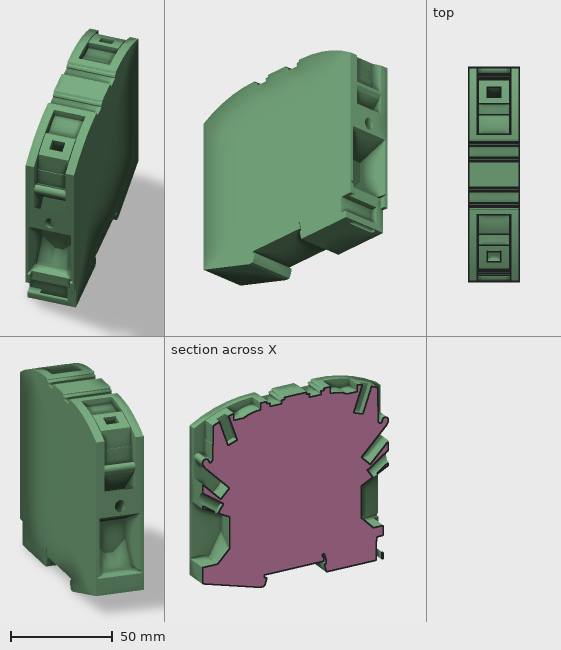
import cadquery as cq
import math

WIDTH = 25.0
LENGTH = 105.5
HEIGHT = 99.7
END_Y = LENGTH / 2

SHOULDER_Z = 90.0
CROWN_Y = 17.2
CROWN_RADIUS = ((END_Y - CROWN_Y) ** 2 + (HEIGHT - SHOULDER_Z) ** 2) / (2 * (HEIGHT - SHOULDER_Z))

GROOVE_INNER_Y = 6.2
GROOVE_OUTER_Y = 16.0
GROOVE_DEPTH = 3.1
GROOVE_SHELF_DEPTH = 1.2
GROOVE_LIP_REACH = 0.6
GROOVE_LIP_DROP = 0.5
GROOVE_SHELF_REACH = 1.6

BACK_CORNER_Z = 9.2
BACK_FOOT_Y = 20.0
FOOT_Y = -49.7
FOOT_TOP_Z = 12.6
RAIL_CEILING_Z = 6.1
JAW_Z = 4.7
BACK_RECESS_Y = 17.6
BACK_JAW_TIP_Y = 16.0
FRONT_RECESS_Y = -16.1
FRONT_JAW_TIP_Y = -16.5
FRONT_JAW_FOOT_Y = -17.4
JAW_BULGE = 0.5
SLIT_BEND_Z = 7.6
SLIT_ARC_OFFSET = 0.3
SLIT_OUTER_Y = -17.3
SLIT_EYE_Y = -15.8
SLIT_EYE_Z = 9.5
SLIT_EYE_RADIUS = 0.5

FOOT_POCKET_X = 8.1
FOOT_POCKET_FLOOR_Z = 3.8
FOOT_POCKET_BACK_Y = -45.9
FOOT_POCKET_BEND_Z = 9.9
FOOT_POCKET_BACK_LEAN = 0.4
FOOT_LIP_DROP = 0.7
FOOT_LIP_RADIUS = 1.1
FOOT_LIP_RUN = math.sqrt(FOOT_LIP_RADIUS**2 - (FOOT_LIP_RADIUS - FOOT_LIP_DROP) ** 2)
FOOT_WELL_START_X = -6.3

SLOT_WIDTH = 16.2
SLOT_INNER_Y = -19.8
SLOT_INNER_Z = 96.0
LEDGE_Y = -29.3
LEDGE_Z = 93.7
BLOCK_WIDTH = 15.4
BLOCK_INNER_Y = -34.9
BLOCK_OUTER_Y = -46.6
BLOCK_BOTTOM_Z = 83.2
WALL_Y = -47.0

TOOL_HOLE_WIDTH = 6.8
TOOL_HOLE_LENGTH = 5.3
TOOL_HOLE_Y = -40.5
TOOL_HOLE_DEPTH = 14.8

BAR_RADIUS = 2.0
BAR_Y = -END_Y + BAR_RADIUS
BAR_Z = 74.3
BAR_LIP_Y = -49.5
BAR_EDGE_DROP = 1.3
TROUGH_Z = 73.7
TROUGH_STEP_Z = 74.5
TROUGH_STEP_Y = -47.7
TROUGH_OUTER_Y = -48.5
CHANNEL_FLOOR_Z = 63.2
CHANNEL_CEILING_Y = -51.5
CHANNEL_CEILING_Z = 71.5
CHANNEL_RUN = 10.4

TEST_HOLE_DIAMETER = 5.3
TEST_HOLE_Z = 54.9
TEST_HOLE_SLOPE = 35.0
TEST_HOLE_DEPTH = 12.7

FUNNEL_FRONT_WIDTH = 21.7
FUNNEL_BACK_WIDTH = 17.0
FUNNEL_BACK_Y = -37.3
FUNNEL_TOP_Z = 49.8
FUNNEL_BACK_TOP_Z = 41.9
FUNNEL_FLOOR_Z = 18.1
FUNNEL_FLOOR_BEND_Y = -44.1
RAMP_FRONT_Y = -43.3
FUNNEL_SIDE_Z = 31.2
GULLY_WIDTH = 4.2
GULLY_BACK_Z = 25.0
GUIDE_WIDTH = 23.3
GUIDE_TOP_Z = 19.6
MOUTH_WIDTH = 20.7

CLEAR = 1.1
OUTSIDE_Y = -END_Y - CLEAR


def extrude_x(sketch, x_start, x_end):
    """Extrude a closed YZ outline from x_start to x_end."""
    return sketch.extrude(x_end - x_start).translate((x_start, 0, 0))


def extrude_centred(sketch, width):
    """Extrude a closed YZ outline symmetrically about X = 0."""
    return extrude_x(sketch, -width / 2, width / 2)


def yz_polygon(points):
    return cq.Workplane("YZ").polyline(points).close()


def box_between(x_range, y_range, z_range):
    sizes = [high - low for low, high in (x_range, y_range, z_range)]
    corner = (x_range[0], y_range[0], z_range[0])
    return cq.Workplane("XY").box(*sizes, centered=False).translate(corner)


def crown_height(y):
    """Height of the rounded top at a distance |y| beyond the flat crown."""
    return HEIGHT - CROWN_RADIUS + math.sqrt(CROWN_RADIUS**2 - (abs(y) - CROWN_Y) ** 2)


def housing():
    arc_middle_y = (END_Y + CROWN_Y) / 2
    arc_middle_z = crown_height(arc_middle_y)
    eye_edge_z = SLIT_EYE_Z - SLIT_EYE_RADIUS
    back_jaw_middle = (BACK_JAW_TIP_Y + JAW_BULGE, JAW_Z / 2)
    front_jaw_middle = (FRONT_JAW_TIP_Y - JAW_BULGE / 2, JAW_Z / 2)
    slit_arc_middle = (SLIT_OUTER_Y + SLIT_ARC_OFFSET, SLIT_BEND_Z)
    outline = (
        cq.Workplane("YZ")
        .moveTo(-CROWN_Y, HEIGHT)
        .lineTo(CROWN_Y, HEIGHT)
        .threePointArc((arc_middle_y, arc_middle_z), (END_Y, SHOULDER_Z))
        .lineTo(END_Y, BACK_CORNER_Z)
        .lineTo(BACK_FOOT_Y, 0)
        .lineTo(BACK_RECESS_Y, 0)
        .threePointArc(back_jaw_middle, (BACK_JAW_TIP_Y, JAW_Z))
        .lineTo(BACK_RECESS_Y, JAW_Z)
        .lineTo(BACK_RECESS_Y, RAIL_CEILING_Z)
        .lineTo(FRONT_RECESS_Y, RAIL_CEILING_Z)
        .lineTo(FRONT_RECESS_Y, SLIT_BEND_Z)
        .lineTo(SLIT_EYE_Y, eye_edge_z)
        .lineTo(SLIT_EYE_Y - SLIT_EYE_RADIUS, SLIT_EYE_Z)
        .threePointArc(slit_arc_middle, (SLIT_OUTER_Y, JAW_Z))
        .lineTo(FRONT_JAW_TIP_Y, JAW_Z)
        .threePointArc(front_jaw_middle, (FRONT_JAW_FOOT_Y, 0))
        .lineTo(FOOT_Y, 0)
        .lineTo(FOOT_Y, FOOT_TOP_Z)
        .lineTo(-END_Y, FOOT_TOP_Z)
        .lineTo(-END_Y, SHOULDER_Z)
        .threePointArc((-arc_middle_y, arc_middle_z), (-CROWN_Y, HEIGHT))
        .close()
    )
    slit_eye = cq.Workplane("YZ").center(SLIT_EYE_Y, SLIT_EYE_Z).circle(SLIT_EYE_RADIUS)
    return extrude_centred(outline, WIDTH).cut(extrude_centred(slit_eye, WIDTH))


def groove_side(edge_y, inward):
    """Points down one lipped groove side; inward is +1 or -1 towards the groove middle."""
    lip = inward * GROOVE_LIP_REACH
    shelf = inward * GROOVE_SHELF_REACH
    shelf_z = HEIGHT - GROOVE_SHELF_DEPTH
    lip_z = HEIGHT - GROOVE_LIP_DROP
    lower_lip_z = shelf_z - GROOVE_LIP_REACH
    return [
        (edge_y, HEIGHT + CLEAR),
        (edge_y, HEIGHT),
        (edge_y + lip, lip_z),
        (edge_y, lip_z),
        (edge_y, shelf_z),
        (edge_y + shelf, shelf_z),
        (edge_y + shelf + lip, lower_lip_z),
        (edge_y + shelf, lower_lip_z),
        (edge_y + shelf, HEIGHT - GROOVE_DEPTH),
    ]


def marker_groove():
    points = groove_side(-GROOVE_OUTER_Y, 1) + groove_side(-GROOVE_INNER_Y, -1)[::-1]
    return extrude_centred(yz_polygon(points), WIDTH)


def foot_pocket():
    """Pocket in the foot with a rounded front lip."""
    lip_middle_z = FOOT_POCKET_FLOOR_Z - FOOT_LIP_RADIUS + math.sqrt(
        FOOT_LIP_RADIUS**2 - (FOOT_LIP_RUN / 2) ** 2
    )
    lip_front_z = FOOT_POCKET_FLOOR_Z - FOOT_LIP_DROP
    outline = (
        cq.Workplane("YZ")
        .moveTo(FOOT_Y - CLEAR, FOOT_TOP_Z)
        .lineTo(FOOT_POCKET_BACK_Y - FOOT_POCKET_BACK_LEAN, FOOT_TOP_Z)
        .lineTo(FOOT_POCKET_BACK_Y, FOOT_POCKET_BEND_Z)
        .lineTo(FOOT_POCKET_BACK_Y, FOOT_POCKET_FLOOR_Z)
        .lineTo(FOOT_Y + FOOT_LIP_RUN, FOOT_POCKET_FLOOR_Z)
        .threePointArc((FOOT_Y + FOOT_LIP_RUN / 2, lip_middle_z), (FOOT_Y, lip_front_z))
        .lineTo(FOOT_Y - CLEAR, lip_front_z)
        .close()
    )
    return extrude_x(outline, -WIDTH / 2, FOOT_POCKET_X)


def foot_well():
    """Opening through the pocket floor, between the front lip and the back wall."""
    return box_between(
        (FOOT_WELL_START_X, FOOT_POCKET_X),
        (FOOT_Y + FOOT_LIP_RUN, FOOT_POCKET_BACK_Y),
        (-CLEAR, FOOT_POCKET_FLOOR_Z),
    )


def push_block(body):
    """Block topped by the rounded housing outline, with a curved ledge on its inner side."""
    ledge_run = SLOT_INNER_Y - LEDGE_Y
    ledge_rise = SLOT_INNER_Z - LEDGE_Z
    ledge_radius = (ledge_run**2 + ledge_rise**2) / (2 * ledge_rise)
    middle_run = ledge_run / 2
    middle_z = SLOT_INNER_Z - ledge_radius + math.sqrt(ledge_radius**2 - middle_run**2)
    outline = (
        cq.Workplane("YZ")
        .moveTo(BLOCK_OUTER_Y, BLOCK_BOTTOM_Z)
        .lineTo(SLOT_INNER_Y, BLOCK_BOTTOM_Z)
        .lineTo(SLOT_INNER_Y, SLOT_INNER_Z)
        .threePointArc((SLOT_INNER_Y - middle_run, middle_z), (LEDGE_Y, LEDGE_Z))
        .lineTo(BLOCK_INNER_Y, LEDGE_Z)
        .lineTo(BLOCK_INNER_Y, HEIGHT)
        .lineTo(BLOCK_OUTER_Y, HEIGHT)
        .close()
    )
    return extrude_centred(outline, BLOCK_WIDTH).intersect(body)


def tool_hole():
    tilt = math.degrees(math.asin((-TOOL_HOLE_Y - CROWN_Y) / CROWN_RADIUS))
    return (
        cq.Workplane("XY")
        .box(TOOL_HOLE_WIDTH, TOOL_HOLE_LENGTH, 2 * TOOL_HOLE_DEPTH)
        .rotate((0, 0, 0), (1, 0, 0), tilt)
        .translate((0, TOOL_HOLE_Y, crown_height(TOOL_HOLE_Y)))
    )


def terminal_slot():
    """Slot that holds the push block and opens outwards above the hook bar."""
    lip_height = math.sqrt(BAR_RADIUS**2 - (BAR_LIP_Y - BAR_Y) ** 2)
    outline = (
        cq.Workplane("YZ")
        .moveTo(OUTSIDE_Y, HEIGHT + CLEAR)
        .lineTo(SLOT_INNER_Y, HEIGHT + CLEAR)
        .lineTo(SLOT_INNER_Y, BLOCK_BOTTOM_Z)
        .lineTo(WALL_Y, BLOCK_BOTTOM_Z)
        .lineTo(WALL_Y, TROUGH_STEP_Z)
        .lineTo(TROUGH_STEP_Y, TROUGH_STEP_Z)
        .lineTo(TROUGH_STEP_Y, TROUGH_Z)
        .lineTo(TROUGH_OUTER_Y, TROUGH_Z)
        .lineTo(BAR_LIP_Y, BAR_Z + lip_height)
        .threePointArc((BAR_Y, BAR_Z + BAR_RADIUS), (-END_Y, BAR_Z))
        .lineTo(OUTSIDE_Y, BAR_Z)
        .close()
    )
    return extrude_centred(outline, SLOT_WIDTH)


def inclined_channel():
    """Channel running inwards and down at 45 degrees beneath the hook bar."""
    end_z = CHANNEL_FLOOR_Z - CHANNEL_RUN
    ceiling_gap = CHANNEL_CEILING_Z + CHANNEL_CEILING_Y - (CHANNEL_FLOOR_Z - END_Y)
    end_climb = ceiling_gap / 2
    end_y = -END_Y + CHANNEL_RUN
    edge_run = math.sqrt(BAR_RADIUS**2 - BAR_EDGE_DROP**2)
    middle_drop = BAR_EDGE_DROP / 2
    middle_run = math.sqrt(BAR_RADIUS**2 - middle_drop**2)
    outline = (
        cq.Workplane("YZ")
        .moveTo(OUTSIDE_Y, BAR_Z)
        .lineTo(-END_Y, BAR_Z)
        .threePointArc(
            (BAR_Y - middle_run, BAR_Z - middle_drop), (BAR_Y - edge_run, BAR_Z - BAR_EDGE_DROP)
        )
        .lineTo(CHANNEL_CEILING_Y, CHANNEL_CEILING_Z)
        .lineTo(end_y + end_climb, end_z + end_climb)
        .lineTo(end_y, end_z)
        .lineTo(-END_Y, CHANNEL_FLOOR_Z)
        .lineTo(OUTSIDE_Y, CHANNEL_FLOOR_Z)
        .close()
    )
    return extrude_centred(outline, SLOT_WIDTH)


def test_hole():
    slope = math.radians(TEST_HOLE_SLOPE)
    direction = cq.Vector(0, math.cos(slope), -math.sin(slope))
    mouth = cq.Vector(0, -END_Y, TEST_HOLE_Z)
    start = mouth - direction * TEST_HOLE_DIAMETER
    length = TEST_HOLE_DEPTH + TEST_HOLE_DIAMETER
    return cq.Workplane(cq.Solid.makeCylinder(TEST_HOLE_DIAMETER / 2, length, start, direction))


def loft_along_y(front_points, front_y, back_points, back_y):
    """Ruled solid between two XZ outlines with matching corners."""
    wires = [
        cq.Wire.makePolygon([cq.Vector(x, y, z) for x, z in points], close=True)
        for points, y in ((front_points, front_y), (back_points, back_y))
    ]
    return cq.Workplane(cq.Solid.makeLoft(wires, True))


def funnel_outline(width, top_z):
    half = width / 2
    return [(-half, FUNNEL_FLOOR_Z), (half, FUNNEL_FLOOR_Z), (half, top_z), (-half, top_z)]


def corner_ramp():
    """Sloping filler in the lower funnel corner on the +X side."""
    taper = (RAMP_FRONT_Y + END_Y) / (FUNNEL_BACK_Y + END_Y)
    rise = (RAMP_FRONT_Y - FUNNEL_FLOOR_BEND_Y) / (FUNNEL_BACK_Y - FUNNEL_FLOOR_BEND_Y)
    sill_z = FUNNEL_FLOOR_Z + rise * (GULLY_BACK_Z - FUNNEL_FLOOR_Z)
    sill_width = FUNNEL_FRONT_WIDTH + taper * (FUNNEL_BACK_WIDTH - FUNNEL_FRONT_WIDTH)

    def ramp_outline(outer_x, outer_z, inner_z):
        inner_x = GULLY_WIDTH / 2
        return [
            (inner_x, FUNNEL_FLOOR_Z),
            (outer_x, FUNNEL_FLOOR_Z),
            (outer_x, outer_z),
            (inner_x, inner_z),
        ]

    sill = ramp_outline(sill_width / 2, sill_z, sill_z)
    back = ramp_outline(FUNNEL_BACK_WIDTH / 2, FUNNEL_SIDE_Z, GULLY_BACK_Z)
    return loft_along_y(sill, RAMP_FRONT_Y, back, FUNNEL_BACK_Y)


def wire_funnel():
    """Tapered wire entry with a rising floor between two corner ramps."""
    cavity = loft_along_y(
        funnel_outline(FUNNEL_FRONT_WIDTH, FUNNEL_TOP_Z),
        -END_Y,
        funnel_outline(FUNNEL_BACK_WIDTH, FUNNEL_BACK_TOP_Z),
        FUNNEL_BACK_Y,
    )
    rising_floor = extrude_centred(
        yz_polygon(
            [
                (FUNNEL_FLOOR_BEND_Y, FUNNEL_FLOOR_Z),
                (FUNNEL_BACK_Y, FUNNEL_FLOOR_Z),
                (FUNNEL_BACK_Y, GULLY_BACK_Z),
            ]
        ),
        FUNNEL_FRONT_WIDTH,
    )
    ramp = corner_ramp()
    return cavity.cut(rising_floor).cut(ramp).cut(ramp.mirror("YZ"))


def guide_slots():
    """Shallow widening at the foot of the funnel side walls."""
    half = GUIDE_WIDTH / 2
    return box_between((-half, half), (OUTSIDE_Y, FUNNEL_FLOOR_BEND_Y), (FUNNEL_FLOOR_Z, GUIDE_TOP_Z))


def front_mouth():
    """Gap between the side walls in front of the foot, below the funnel."""
    half = MOUTH_WIDTH / 2
    return box_between(
        (-half, half), (OUTSIDE_Y, FOOT_Y), (FOOT_TOP_Z - CLEAR, FUNNEL_FLOOR_Z)
    )


body = housing()
block = push_block(body)

end_cutters = [
    marker_groove(),
    terminal_slot(),
    inclined_channel(),
    test_hole(),
    wire_funnel(),
    guide_slots(),
]
result = body
for cutter in end_cutters:
    result = result.cut(cutter).cut(cutter.mirror("XZ"))

result = result.union(block).union(block.mirror("XZ"))
result = result.cut(tool_hole()).cut(tool_hole().mirror("XZ"))

result = result.cut(front_mouth()).cut(foot_pocket()).cut(foot_well())